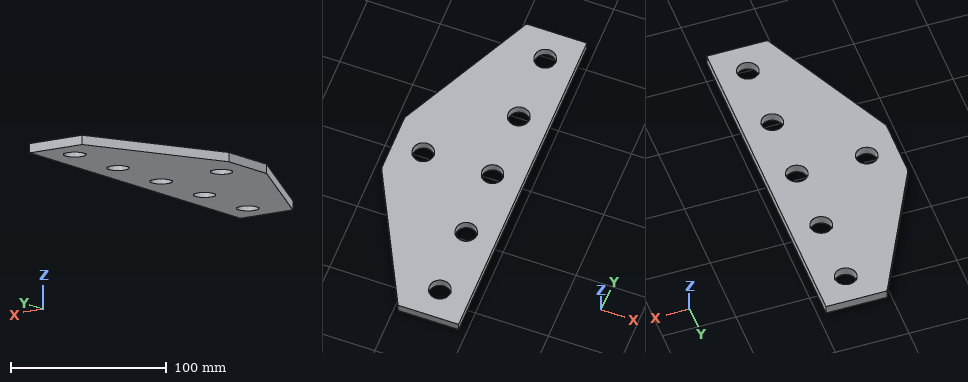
import cadquery as cq

length = 231.8
width = 89.0
thickness = 6.3
hole_pitch = 47.5
hole_diameter = 14.4
row_hole_count = 5

band_width = width - hole_pitch
edge_margin = band_width / 2

right = width / 2
left = -right
shoulder = right - band_width
half_length = length / 2
half_nose = band_width / 2

outline = [
    (right, -half_length),
    (right, half_length),
    (shoulder, half_length),
    (left, half_nose),
    (left, -half_nose),
    (shoulder, -half_length),
]
plate = cq.Workplane("XY").polyline(outline).close().extrude(thickness)

row_x = right - edge_margin
middle_index = (row_hole_count - 1) / 2
hole_centers = [(row_x, (i - middle_index) * hole_pitch) for i in range(row_hole_count)]
hole_centers.append((row_x - hole_pitch, 0))

result = plate.faces(">Z").workplane(origin=(0, 0, 0)).pushPoints(hole_centers).hole(hole_diameter)